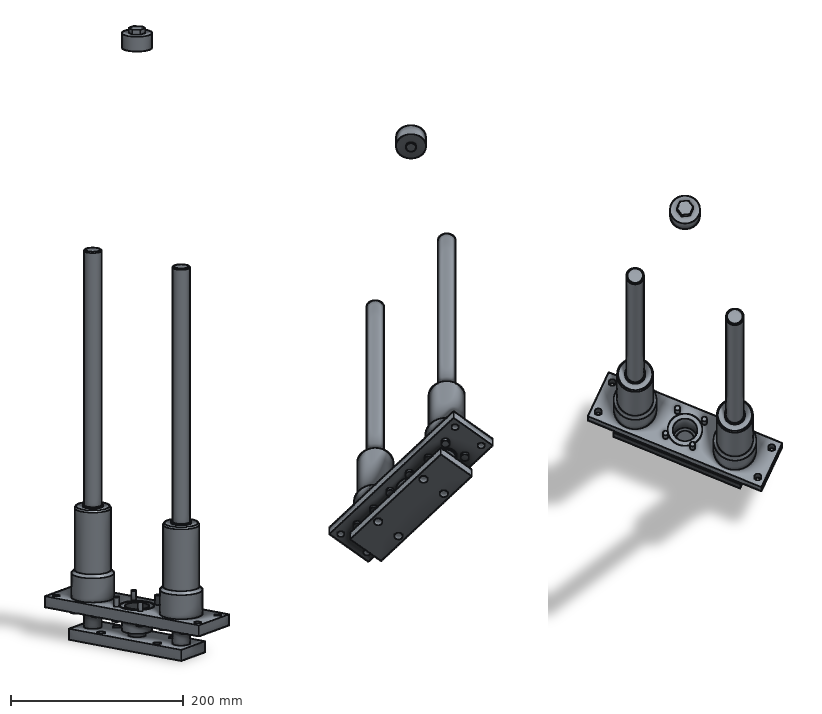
import cadquery as cq

TOTAL_HEIGHT = 742.5

MOVING_LENGTH = 160.0
MOVING_WIDTH = 47.5
PLATE_THICKNESS = 13.0
MOVING_HOLE_DIAMETER = 10.0
MOVING_HOLE_X = 40.0
MOVING_HOLE_Y = 15.5
ROD_DIAMETER = 21.0
ROD_OFFSET = 63.0
ROD_TOP = 466.0
ROD_CHAMFER = 1.5
BOSS_DIAMETER = 21.0

FIXED_LENGTH = 220.0
FIXED_WIDTH = 60.0
FIXED_BOTTOM = 36.0
FIXED_TOP = FIXED_BOTTOM + PLATE_THICKNESS
CORNER_HOLE_DIAMETER = 8.0
CORNER_HOLE_X = 101.0
CORNER_HOLE_Y = 20.0
HOUSING_BASE_DIAMETER = 50.0
HOUSING_DIAMETER = 42.0
HOUSING_TIP_DIAMETER = 39.0
HOUSING_BASE_TOP = 78.0
HOUSING_STEP_TOP = HOUSING_BASE_TOP + (HOUSING_BASE_DIAMETER - HOUSING_DIAMETER) / 2
HOUSING_TOP = 158.0
HOUSING_TIP_HEIGHT = 2.0
COLLAR_DIAMETER = 24.0
COLLAR_PROJECTION = 1.5

HEAD_DIAMETER = 10.0
HEAD_HEIGHT = 4.5
HOUSING_SCREW_OFFSET = 15.0
CENTRE_SCREW_OFFSET = 17.0
SHANK_DIAMETER = 6.0
SHANK_TOP = 60.0

SLEEVE_DIAMETER = 35.0
SLEEVE_BORE = 28.0
SLEEVE_BOTTOM = 19.0
RECESS_DIAMETER = 40.0
RECESS_DEPTH = 1.0

PUCK_DIAMETER = 35.0
PUCK_BOTTOM = 719.0
PUCK_TOP = 736.5
HEX_SIDES = 6
HEX_ACROSS_CORNERS = 19.0
HEX_ROTATION = 90
NUB_DIAMETER = 12.0
NUB_HEIGHT = 2.0

ROD_AXES = [(-ROD_OFFSET, 0), (ROD_OFFSET, 0)]


def plate(length, width, bottom):
    return cq.Workplane("XY", origin=(0, 0, bottom)).box(
        length, width, PLATE_THICKNESS, centered=(True, True, False)
    )


def cylinders(points, diameter, bottom, top):
    """Upright cylinders of one diameter at each (x, y) point, from bottom to top along Z."""
    base = cq.Workplane("XY", origin=(0, 0, bottom)).pushPoints(points)
    return base.circle(diameter / 2).extrude(top - bottom)


def four_corners(x, y):
    return [(side_x * x, side_y * y) for side_x in (-1, 1) for side_y in (-1, 1)]


def make_moving_plate():
    """Plate with four holes, a central boss and two upright guide rods."""
    body = plate(MOVING_LENGTH, MOVING_WIDTH, 0)
    holes = four_corners(MOVING_HOLE_X, MOVING_HOLE_Y)
    body = body.cut(cylinders(holes, MOVING_HOLE_DIAMETER, 0, PLATE_THICKNESS))
    rods = cylinders(ROD_AXES, ROD_DIAMETER, 0, ROD_TOP).faces(">Z").chamfer(ROD_CHAMFER)
    boss = cylinders([(0, 0)], BOSS_DIAMETER, 0, SLEEVE_BOTTOM)
    return body.union(rods).union(boss)


def make_guide_housing(x):
    """Turned housing, chamfered at the base step and the tip, standing on the fixed plate."""
    base = HOUSING_BASE_DIAMETER / 2
    barrel = HOUSING_DIAMETER / 2
    tip = HOUSING_TIP_DIAMETER / 2
    profile = [
        (0, FIXED_BOTTOM),
        (base, FIXED_BOTTOM),
        (base, HOUSING_BASE_TOP),
        (barrel, HOUSING_STEP_TOP),
        (barrel, HOUSING_TOP - HOUSING_TIP_HEIGHT),
        (tip, HOUSING_TOP),
        (0, HOUSING_TOP),
    ]
    housing = cq.Workplane("XZ").polyline(profile).close().revolve(360, (0, 0, 0), (0, 1, 0))
    collar = cylinders(
        [(0, 0)], COLLAR_DIAMETER, FIXED_BOTTOM - COLLAR_PROJECTION, HOUSING_TOP + COLLAR_PROJECTION
    )
    heads = cylinders(
        four_corners(HOUSING_SCREW_OFFSET, HOUSING_SCREW_OFFSET),
        HEAD_DIAMETER,
        FIXED_BOTTOM - HEAD_HEIGHT,
        FIXED_BOTTOM,
    )
    return housing.union(collar).union(heads).translate((x, 0, 0))


def make_fixed_plate():
    """Plate carrying the guide housings, the centre sleeve and its screws, bored for the rods."""
    body = plate(FIXED_LENGTH, FIXED_WIDTH, FIXED_BOTTOM)
    for x, _ in ROD_AXES:
        body = body.union(make_guide_housing(x))
    body = body.union(cylinders([(0, 0)], SLEEVE_DIAMETER, SLEEVE_BOTTOM, FIXED_TOP))

    screws = four_corners(CENTRE_SCREW_OFFSET, CENTRE_SCREW_OFFSET)
    body = body.union(cylinders(screws, HEAD_DIAMETER, FIXED_BOTTOM - HEAD_HEIGHT, FIXED_BOTTOM))
    body = body.union(cylinders(screws, SHANK_DIAMETER, FIXED_BOTTOM, SHANK_TOP))

    corner_holes = four_corners(CORNER_HOLE_X, CORNER_HOLE_Y)
    body = body.cut(cylinders(corner_holes, CORNER_HOLE_DIAMETER, FIXED_BOTTOM, FIXED_TOP))
    body = body.cut(cylinders([(0, 0)], RECESS_DIAMETER, FIXED_TOP - RECESS_DEPTH, FIXED_TOP))
    body = body.cut(cylinders([(0, 0)], SLEEVE_BORE, SLEEVE_BOTTOM, FIXED_TOP))
    return body.cut(cylinders(ROD_AXES, ROD_DIAMETER, 0, ROD_TOP))


def make_puck():
    """Round puck with a hexagon on top and a round nub below."""
    body = cylinders([(0, 0)], PUCK_DIAMETER, PUCK_BOTTOM, PUCK_TOP)
    hexagon = (
        cq.Workplane("XY", origin=(0, 0, PUCK_TOP))
        .transformed(rotate=(0, 0, HEX_ROTATION))
        .polygon(HEX_SIDES, HEX_ACROSS_CORNERS)
        .extrude(TOTAL_HEIGHT - PUCK_TOP)
    )
    nub = cylinders([(0, 0)], NUB_DIAMETER, PUCK_BOTTOM - NUB_HEIGHT, PUCK_BOTTOM)
    return body.union(hexagon).union(nub)


moving_plate = make_moving_plate()
fixed_plate = make_fixed_plate()
puck = make_puck()

result = cq.Compound.makeCompound([moving_plate.val(), fixed_plate.val(), puck.val()])